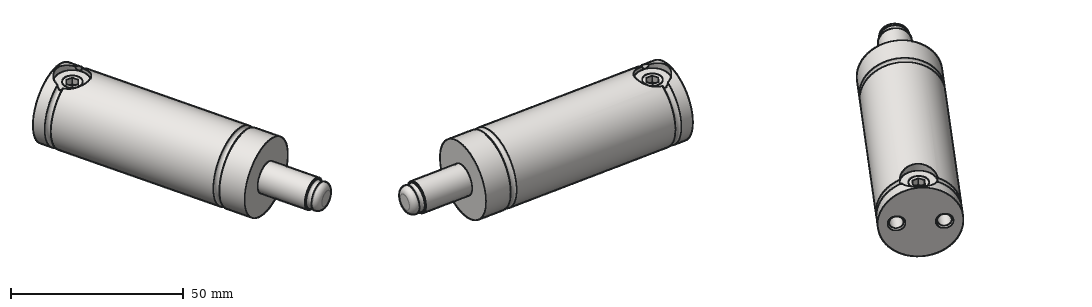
import cadquery as cq
import math

BODY_LENGTH = 71.0
BODY_RADIUS = 12.5
BODY_GROOVE_RADIUS = 1.0
BODY_GROOVE_POSITIONS = (5.0, BODY_LENGTH - 9.5)

TOTAL_LENGTH = 91.0
ROD_RADIUS = 5.0
ROD_SHOULDER_X = TOTAL_LENGTH - 4.0
ROD_CHAMFER = 0.2
TIP_RADIUS = 4.5
TIP_GROOVE_RADIUS = 1.0
TIP_GROOVE_X = ROD_SHOULDER_X + math.sqrt(TIP_GROOVE_RADIUS**2 - (ROD_RADIUS - TIP_RADIUS) ** 2)
TIP_ROUNDING = 2.0

PORT_X = 6.0
POCKET_RADIUS = 5.5
POCKET_FLOOR_Z = 10.0
PLUG_RADIUS = 3.0
PLUG_RECESS = 0.1
SOCKET_FLATS = 3.5
SOCKET_DEPTH = 2.5

MOUNT_SPACING = 14.0
MOUNT_DRILL_RADIUS = 2.1
MOUNT_MOUTH_RADIUS = 2.6
MOUNT_DEPTH = 8.0
DRILL_POINT_ANGLE = 118.0


def cylinder_x(start, end, radius):
    return cq.Workplane("YZ", origin=(start, 0, 0)).circle(radius).extrude(end - start)


def round_groove(x, ring_radius, groove_radius):
    """Ring of circular section around the X axis, used to cut a groove."""
    return cq.Workplane("XY").add(
        cq.Solid.makeTorus(ring_radius, groove_radius, cq.Vector(x, 0, 0), cq.Vector(1, 0, 0))
    )


def make_body():
    body = cylinder_x(0, BODY_LENGTH, BODY_RADIUS)
    for x in BODY_GROOVE_POSITIONS:
        body = body.cut(round_groove(x, BODY_RADIUS, BODY_GROOVE_RADIUS))
    return body


def make_rod():
    shaft = cylinder_x(BODY_LENGTH / 2, ROD_SHOULDER_X, ROD_RADIUS).faces(">X").chamfer(ROD_CHAMFER)
    tip = cylinder_x(BODY_LENGTH / 2, TOTAL_LENGTH, TIP_RADIUS).faces(">X").edges().fillet(TIP_ROUNDING)
    tip_groove = round_groove(TIP_GROOVE_X, ROD_RADIUS, TIP_GROOVE_RADIUS)
    return shaft.union(tip.cut(tip_groove))


def make_filling_port():
    floor = cq.Workplane("XY", origin=(PORT_X, 0, POCKET_FLOOR_Z))
    pocket = floor.circle(POCKET_RADIUS).extrude(BODY_RADIUS)
    plug_recess = floor.circle(PLUG_RADIUS).extrude(-PLUG_RECESS)
    socket_corners = SOCKET_FLATS / math.cos(math.pi / 6)
    socket = floor.polygon(6, socket_corners).extrude(-SOCKET_DEPTH)
    return pocket.union(plug_recess).union(socket)


def make_mount_hole(y):
    """Blind hole along X with a 45 degree mouth chamfer and a conical end."""
    mouth_depth = MOUNT_MOUTH_RADIUS - MOUNT_DRILL_RADIUS
    point_length = MOUNT_DRILL_RADIUS / math.tan(math.radians(DRILL_POINT_ANGLE / 2))
    half_section = [
        (0, 0),
        (0, MOUNT_MOUTH_RADIUS),
        (mouth_depth, MOUNT_DRILL_RADIUS),
        (MOUNT_DEPTH, MOUNT_DRILL_RADIUS),
        (MOUNT_DEPTH + point_length, 0),
    ]
    hole = cq.Workplane("XY").polyline(half_section).close().revolve(360, (0, 0), (1, 0))
    return hole.translate((0, y, 0))


result = make_body().union(make_rod()).cut(make_filling_port())
for side in (-1, 1):
    result = result.cut(make_mount_hole(side * MOUNT_SPACING / 2))